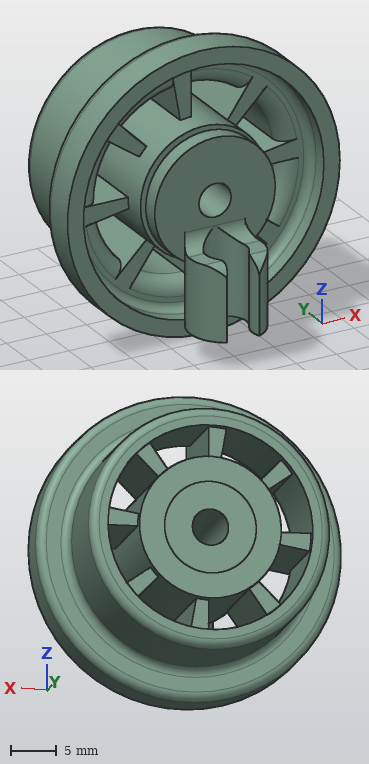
import cadquery as cq
import math


flange_radius = 17
flange_depth = 4.8
flange_bore_radius = 15.0
barrel_radius = 13.4
wall = 2.0
barrel_bore_radius = barrel_radius - wall
wheel_depth = 15.8
web_y = flange_depth - wall
edge_fillet = 1.0
mouth_fillet = 1.97
hub_radius = 7.9
hub_front_y = 0

spoke_count = 8
spoke_angle = 10
spoke_pitch = 360 / spoke_count

axle_radius = 5.1
axle_hole_radius = 2.0
disc_radius = 7.5
disc_thickness = wall
disc_back_y = -0.5
disc_front_y = disc_back_y - disc_thickness

clip_inner_diameter = 5.0
clip_inner_radius = clip_inner_diameter / 2
clip_outer_radius = clip_inner_radius + wall
clip_y = disc_front_y - clip_inner_radius
clip_bottom_z = -14.0
clip_top_z = -5.0
clip_top_fillet = wall
clip_front_y = -9.1
lip_start_angle = 30
lip_nose_x = 1.7
lip_nose_drop = 2.2
left_tip_x = 2.15
right_tip_x = 1.85


def ring(outer_radius, inner_radius, front_y, back_y):
    """Tube around the Y axis; an inner radius of 0 gives a solid cylinder."""
    profile = cq.Workplane("XZ", origin=(0, front_y, 0)).circle(outer_radius)
    if inner_radius > 0:
        profile = profile.circle(inner_radius)
    return profile.extrude(front_y - back_y)


def make_rim():
    """Flange and barrel as one revolved wall with rounded corners."""
    profile = (
        cq.Workplane("XY")
        .moveTo(flange_bore_radius, 0)
        .lineTo(flange_radius, 0)
        .lineTo(flange_radius, flange_depth - edge_fillet)
        .radiusArc((flange_radius - edge_fillet, flange_depth), -edge_fillet)
        .lineTo(barrel_radius + edge_fillet, flange_depth)
        .radiusArc((barrel_radius, flange_depth + edge_fillet), edge_fillet)
        .lineTo(barrel_radius, wheel_depth - edge_fillet)
        .radiusArc((barrel_radius - edge_fillet, wheel_depth), -edge_fillet)
        .lineTo(barrel_bore_radius, wheel_depth)
        .lineTo(barrel_bore_radius, web_y + mouth_fillet)
        .radiusArc((barrel_bore_radius + mouth_fillet, web_y), -mouth_fillet)
        .lineTo(flange_bore_radius - edge_fillet, web_y)
        .radiusArc((flange_bore_radius, web_y - edge_fillet), edge_fillet)
        .close()
    )
    return profile.revolve(360, (0, 0, 0), (0, 1, 0))


def make_spoke(start_angle):
    """One sector from inside the hub wall to the outer edge of the mouth fillet."""
    inner = (hub_radius + axle_radius) / 2
    outer = barrel_bore_radius + mouth_fillet

    def polar(radius, angle):
        turn = math.radians(angle)
        return radius * math.cos(turn), radius * math.sin(turn)

    end_angle = start_angle + spoke_angle
    middle_angle = start_angle + spoke_angle / 2
    return (
        cq.Workplane("XZ", origin=(0, web_y, 0))
        .moveTo(*polar(inner, start_angle))
        .lineTo(*polar(outer, start_angle))
        .threePointArc(polar(outer, middle_angle), polar(outer, end_angle))
        .lineTo(*polar(inner, end_angle))
        .close()
        .extrude(web_y - (wheel_depth - edge_fillet))
    )


def make_wheel():
    wheel = make_rim().union(ring(hub_radius, axle_radius, hub_front_y, wheel_depth))
    for index in range(spoke_count):
        wheel = wheel.union(make_spoke(index * spoke_pitch))
    return wheel


def make_clip_ring():
    """C ring with rounded lips, open towards -Y."""
    lip_angle = math.radians(lip_start_angle)
    lip_x = clip_inner_radius * math.cos(lip_angle)
    lip_y = -clip_inner_radius * math.sin(lip_angle)

    def tip_y(tip_x):
        return -math.sqrt(clip_outer_radius**2 - tip_x**2)

    return (
        cq.Workplane("XY", origin=(0, clip_y, clip_bottom_z))
        .moveTo(-lip_x, lip_y)
        .threePointArc((0, clip_inner_radius), (lip_x, lip_y))
        .threePointArc((lip_nose_x, -lip_nose_drop), (right_tip_x, tip_y(right_tip_x)))
        .threePointArc((0, clip_outer_radius), (-left_tip_x, tip_y(left_tip_x)))
        .threePointArc((-lip_nose_x, -lip_nose_drop), (-lip_x, lip_y))
        .close()
        .extrude(-clip_bottom_z)
    )


def make_clip_side_profile():
    """Side outline that blends the clip top into the disc and rounds its free end."""
    return (
        cq.Workplane("YZ")
        .moveTo(disc_back_y, clip_bottom_z)
        .lineTo(disc_back_y, clip_top_z + clip_top_fillet)
        .lineTo(disc_front_y, clip_top_z + clip_top_fillet)
        .radiusArc((disc_front_y - clip_top_fillet, clip_top_z), clip_top_fillet)
        .lineTo(clip_front_y + clip_top_fillet, clip_top_z)
        .radiusArc((clip_front_y, clip_top_z - clip_top_fillet), -clip_top_fillet)
        .lineTo(clip_front_y, clip_bottom_z)
        .close()
        .extrude(clip_outer_radius, both=True)
    )


def make_axle_clip():
    disc = ring(disc_radius, 0, disc_front_y, disc_back_y)
    axle = ring(axle_radius, 0, disc_back_y, wheel_depth)
    hole = ring(axle_hole_radius, 0, disc_front_y, wheel_depth)
    clip = make_clip_ring().intersect(make_clip_side_profile())
    return disc.union(axle).union(clip).cut(hole)


wheel = make_wheel()
axle_clip = make_axle_clip()

result = cq.Compound.makeCompound([wheel.val(), axle_clip.val()])